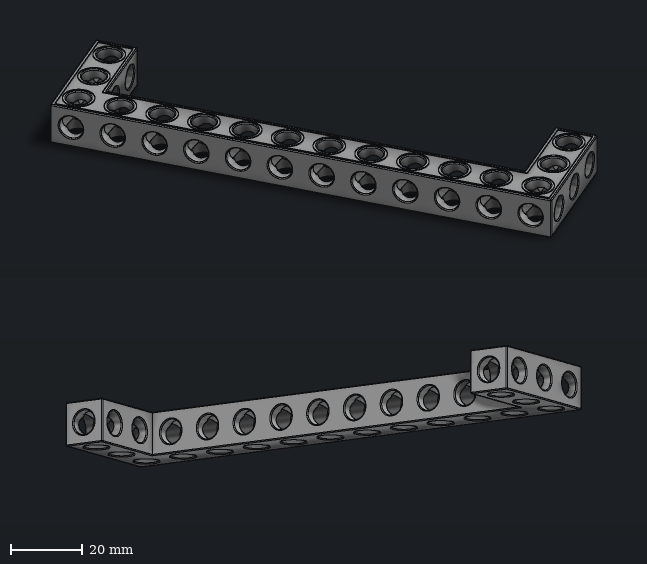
import cadquery as cq

length = 150.0
columns = 12
rows = 3
bore_diameter = 7.0
rim_width = 1.0
recess_depth = 0.22
edge_chamfer = 0.3

pitch = length / columns
depth = rows * pitch
height = pitch
ring_diameter = bore_diameter + 2 * rim_width

column_places = [(column + 0.5) * pitch - length / 2 for column in range(columns)]
row_places = [(row + 0.5) * pitch - depth / 2 for row in range(rows)]
bar_centres = [(x, row_places[0]) for x in column_places]
arm_centres = [(x, y) for x in (column_places[0], column_places[-1]) for y in row_places[1:]]
module_centres = bar_centres + arm_centres


def u_prism(inset, thickness):
    """U-shaped prism, its outline moved inwards by the inset."""
    outer_x = length / 2 - inset
    inner_x = length / 2 - pitch + inset
    outer_y = depth / 2 - inset
    inner_y = pitch - depth / 2 - inset
    outline = [
        (-outer_x, -outer_y),
        (outer_x, -outer_y),
        (outer_x, outer_y),
        (inner_x, outer_y),
        (inner_x, inner_y),
        (-inner_x, inner_y),
        (-inner_x, outer_y),
        (-outer_x, outer_y),
    ]
    return cq.Workplane("XY").polyline(outline).close().extrude(thickness)


def top_recess():
    """Shallow pocket in the top face, leaving an edge rim and a ring around each bore."""
    rings = cq.Workplane("XY").pushPoints(module_centres).circle(ring_diameter / 2).extrude(recess_depth)
    return u_prism(rim_width, recess_depth).cut(rings).translate((0, 0, height - recess_depth))


def bore(start, direction, span):
    """Bore cutter through a bar of the given span, flared at both ends by the edge chamfer."""
    radius = bore_diameter / 2
    mouth_radius = radius + edge_chamfer
    profile = [
        (0, 0),
        (mouth_radius, 0),
        (radius, edge_chamfer),
        (radius, span - edge_chamfer),
        (mouth_radius, span),
        (0, span),
    ]
    cutter = cq.Workplane("XZ").polyline(profile).close().revolve(360, (0, 0), (0, 1))
    if direction == "X":
        cutter = cutter.rotate((0, 0, 0), (0, 1, 0), 90)
    elif direction == "Y":
        cutter = cutter.rotate((0, 0, 0), (1, 0, 0), -90)
    return cutter.translate(start)


convex_edges = "#Z or (|Z and (<X or >X or >Y))"
body = u_prism(0, height).edges(convex_edges).chamfer(edge_chamfer)
body = body.cut(top_recess())

for x, y in module_centres:
    body = body.cut(bore((x, y, 0), "Z", height))

for x in column_places[1:-1]:
    body = body.cut(bore((x, -depth / 2, height / 2), "Y", pitch))
for x in (column_places[0], column_places[-1]):
    body = body.cut(bore((x, -depth / 2, height / 2), "Y", depth))

body = body.cut(bore((-length / 2, row_places[0], height / 2), "X", length))
for y in row_places[1:]:
    for arm_start in (-length / 2, length / 2 - pitch):
        body = body.cut(bore((arm_start, y, height / 2), "X", pitch))

result = body